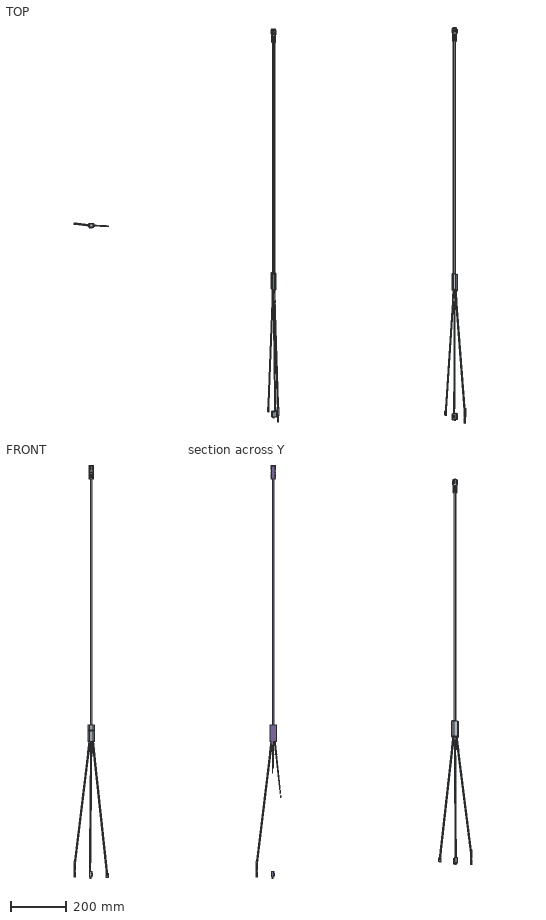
import cadquery as cq

TOTAL_X = 126.04
TOTAL_Y = 19.0
TOTAL_Z = 1499.05
X_MAX = TOTAL_X / 2
Y_MAX = TOTAL_Y / 2
Z_TOP = TOTAL_Z / 2
Z_BOTTOM = -Z_TOP

PLUG_DIAMETER = 15.0
PLUG_LENGTH = 48.0
COLLAR_WIDTH = 15.0
COLLAR_DEPTH = 14.0
COLLAR_LENGTH = 13.0
COLLAR_DROP = 4.0
COLLAR_SLOT_DROP = 10.0
GROOVE_WIDTH = 2.0
GROOVE_DEPTH = 1.0
GROOVE_PITCH = 6.0
TAIL_GROOVE_COUNT = 4

TRUNK_CORE_DIAMETER = 6.5
TRUNK_CORE_SPACING = 3.0
TRUNK_Y = -1.0

SPLITTER_TOP = -192.0
SPLITTER_LENGTH = 60.0
SPLITTER_WIDTH = 24.0
SPLITTER_DEPTH = 14.0
SPLITTER_CHAMFER = 5.0
SPLITTER_BOTTOM = SPLITTER_TOP - SPLITTER_LENGTH
SPLITTER_BAND_DROP = 22.0
SPLITTER_BAND_HEIGHT = 4.0
SPLITTER_BAND_DEPTH = 0.6

LEFT_DIAMETER = 4.5
TWIN_DIAMETER = 2.8
TWIN_SPACING = 2.0
SINGLE_CORE = (0,)
TWIN_CORES = (-TWIN_SPACING / 2, TWIN_SPACING / 2)
BRANCH_OVERLAP = 5.0
BRANCH_START_X = 5.0
SLEEVE_DIAMETER = 5.6
SLEEVE_LENGTH = 48.0

CRIMP_WIDTH = 5.0
CRIMP_DEPTH = 5.5
CRIMP_LENGTH = 30.0
CRIMP_BOTTOM = -719.0
BLADE_WIDTH = 5.0
BLADE_DEPTH = 3.0
BLADE_LENGTH = 18.0
BLADE_BOTTOM = -744.0
NECK_WIDTH = 2.5

TERMINAL_WIDTH = 10.0
TERMINAL_DEPTH = 2.5
TERMINAL_LENGTH = 14.0
TERMINAL_BOTTOM = -746.0
TERMINAL_Y = -2.8

CONNECTOR_WIDTH = 9.0
CONNECTOR_DEPTH = 16.5
CONNECTOR_LENGTH = 21.0
CONNECTOR_X = -2.5
LATCH_REACH = 3.0
LATCH_DEPTH = 5.0
LATCH_HEIGHT = 7.0
LATCH_RISE = 6.0
TIP_DIAMETER = 3.0
TIP_LENGTH = 4.5
MIDDLE_END_X = -4.6
MIDDLE_END_Y = -4.5


def block(width, depth, height, x, y, z_bottom):
    """Upright block centred on (x, y), standing on z_bottom."""
    return cq.Workplane("XY").box(width, depth, height, (True, True, False)).translate((x, y, z_bottom))


def rod(start, end, diameter):
    """Round bar from one point to another."""
    axis = end - start
    return cq.Workplane(cq.Solid.makeCylinder(diameter / 2, axis.Length, start, axis))


def make_plug():
    bottom = Z_TOP - PLUG_LENGTH
    plug = cq.Workplane("XY", (0, 0, bottom)).circle(PLUG_DIAMETER / 2).extrude(PLUG_LENGTH)
    for i in range(TAIL_GROOVE_COUNT):
        z = bottom + GROOVE_PITCH * (i + 1) - GROOVE_WIDTH
        ring = cq.Workplane("XY", (0, 0, z)).circle(PLUG_DIAMETER / 2)
        plug = plug.cut(ring.circle(PLUG_DIAMETER / 2 - GROOVE_DEPTH).extrude(GROOVE_WIDTH))
    collar = block(COLLAR_WIDTH, COLLAR_DEPTH, COLLAR_LENGTH, 0, 0, Z_TOP - COLLAR_DROP - COLLAR_LENGTH)
    slot_z = Z_TOP - COLLAR_SLOT_DROP - GROOVE_WIDTH
    core_width = COLLAR_WIDTH - 2 * GROOVE_DEPTH
    core_depth = COLLAR_DEPTH - 2 * GROOVE_DEPTH
    core = block(core_width, core_depth, GROOVE_WIDTH, 0, 0, slot_z)
    slot = block(COLLAR_WIDTH, COLLAR_DEPTH, GROOVE_WIDTH, 0, 0, slot_z).cut(core)
    collar = collar.cut(slot)
    return plug.union(collar)


def make_trunk():
    bottom = SPLITTER_TOP - BRANCH_OVERLAP
    top = Z_TOP - PLUG_LENGTH + BRANCH_OVERLAP
    trunk = cq.Workplane("XY")
    for side in (-1, 1):
        y = TRUNK_Y + side * TRUNK_CORE_SPACING / 2
        trunk = trunk.add(rod(cq.Vector(0, y, bottom), cq.Vector(0, y, top), TRUNK_CORE_DIAMETER))
    return trunk.combine()


def make_splitter():
    body = block(SPLITTER_WIDTH, SPLITTER_DEPTH, SPLITTER_LENGTH, 0, 0, SPLITTER_BOTTOM)
    body = body.edges("|Z").chamfer(SPLITTER_CHAMFER)
    groove = block(
        SPLITTER_WIDTH,
        2 * SPLITTER_BAND_DEPTH,
        SPLITTER_BAND_HEIGHT,
        0,
        -SPLITTER_DEPTH / 2,
        SPLITTER_TOP - SPLITTER_BAND_DROP,
    )
    return body.cut(groove)


def make_branch(start_x, end, diameter, core_offsets):
    """Straight wire of one or more cores, side by side along X, sleeved where it leaves the splitter."""
    start = cq.Vector(start_x, 0, SPLITTER_BOTTOM + BRANCH_OVERLAP)
    sleeve_end = start + (end - start).normalized() * (SLEEVE_LENGTH + BRANCH_OVERLAP)
    branch = rod(start, sleeve_end, SLEEVE_DIAMETER)
    for offset in core_offsets:
        shift = cq.Vector(offset, 0, 0)
        branch = branch.union(rod(start + shift, end + shift, diameter))
    return branch


def make_left_branch():
    x = -X_MAX + CRIMP_WIDTH / 2
    y = Y_MAX - CRIMP_DEPTH / 2
    end = cq.Vector(x, y, CRIMP_BOTTOM + CRIMP_LENGTH / 2)
    branch = make_branch(-BRANCH_START_X, end, LEFT_DIAMETER, SINGLE_CORE)
    crimp = block(CRIMP_WIDTH, CRIMP_DEPTH, CRIMP_LENGTH, x, y, CRIMP_BOTTOM)
    neck = block(NECK_WIDTH, BLADE_DEPTH, CRIMP_BOTTOM - BLADE_BOTTOM, x, y, BLADE_BOTTOM)
    blade = block(BLADE_WIDTH, BLADE_DEPTH, BLADE_LENGTH, x, y, BLADE_BOTTOM)
    return branch.union(crimp).union(neck).union(blade)


def make_right_branch():
    x = X_MAX - TERMINAL_WIDTH / 2
    end = cq.Vector(x, TERMINAL_Y, TERMINAL_BOTTOM + TERMINAL_LENGTH / 2)
    branch = make_branch(BRANCH_START_X, end, TWIN_DIAMETER, TWIN_CORES)
    terminal = block(TERMINAL_WIDTH, TERMINAL_DEPTH, TERMINAL_LENGTH, x, TERMINAL_Y, TERMINAL_BOTTOM)
    return branch.union(terminal)


def make_middle_branch():
    bottom = Z_BOTTOM + TIP_LENGTH
    connector_y = CONNECTOR_DEPTH / 2 - Y_MAX
    end = cq.Vector(MIDDLE_END_X, MIDDLE_END_Y, bottom + CONNECTOR_LENGTH / 2)
    branch = make_branch(0, end, TWIN_DIAMETER, TWIN_CORES)
    body = block(CONNECTOR_WIDTH, CONNECTOR_DEPTH, CONNECTOR_LENGTH, CONNECTOR_X, connector_y, bottom)
    latch_x = CONNECTOR_X + CONNECTOR_WIDTH / 2
    latch = block(2 * LATCH_REACH, LATCH_DEPTH, LATCH_HEIGHT, latch_x, connector_y, bottom + LATCH_RISE)
    tip = rod(cq.Vector(CONNECTOR_X, 0, Z_BOTTOM), cq.Vector(CONNECTOR_X, 0, bottom), TIP_DIAMETER)
    return branch.union(body).union(latch).union(tip)


result = make_plug().union(make_trunk()).union(make_splitter())
result = result.union(make_left_branch()).union(make_middle_branch()).union(make_right_branch())